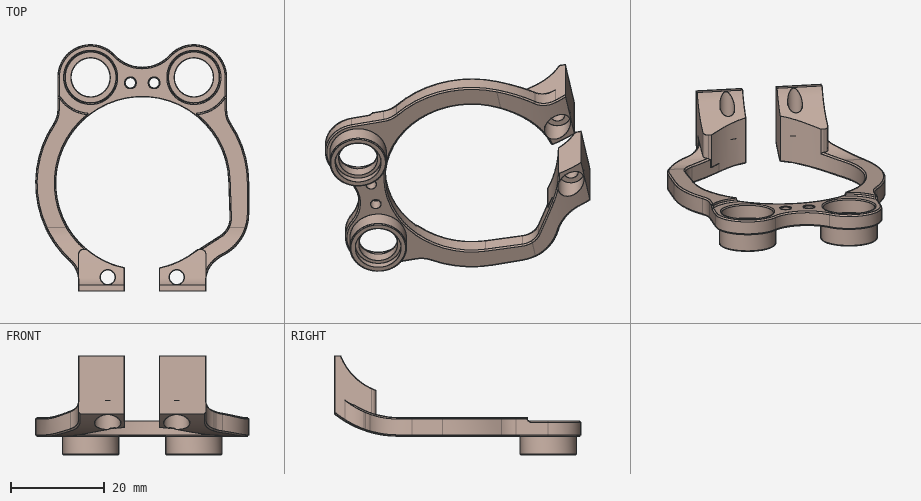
import cadquery as cq
import math

overall_width = 45.4
overall_length = 52.5

inner_radius = 18.45
outer_radius = overall_width / 2
thickness = 4.0
edge_chamfer = 0.3

shoulder_y = -6.45
shoulder_radius = 10.0
shoulder_fillet = 5.5
inner_flat_tilt = math.radians(2)
inner_slope = math.radians(32.8)
inner_corner_fillet = 4.5

socket_x = 22.0 / 2
socket_y = 22.5
lobe_radius = 7.0
valley_y = 24.7
neck_fillet = 5.5
head_top = 3.25
recess_radius = 8.0
recess_end_y = 18.05
recess_inner_x = 11.85
recess_inner_y = 13.1
socket_radius = 5.5
socket_floor = 0.1
socket_chamfer = 0.25
socket_foot_chamfer = 0.1
bore_radius = 4.15
lower_bore_radius = 4.9
lower_bore_top = -2.4
boss_radius = 6.05
boss_bottom = -3.95
boss_chamfer = 0.2

screw_hole_x = 2.5
screw_hole_y = 21.35
screw_hole_radius = 1.1
screw_hole_chamfer = 0.15

bend_y = -9.45
bend_radius = 21.7

front_y = socket_y + lobe_radius - overall_length
tab_outer_x = 13.55
left_tab_inner_x = -3.8
right_tab_inner_x = 3.7
tab_back_y = -14.1
tab_back_z = 9.75
tab_top = 17.1
tab_rim = 1.3
scoop_radius = 12.6
tab_corner_fillet = 1.0
tab_root_fillet = 5.5
clamp_hole_x = 7.35
clamp_hole_y = -20.05
clamp_hole_radius = 1.6
clamp_bore_radius = 2.8
clamp_bore_top = 7.6

head_half_width = socket_x + lobe_radius
socket_centers = [(-socket_x, socket_y), (socket_x, socket_y)]
screw_hole_centers = [(-screw_hole_x, screw_hole_y), (screw_hole_x, screw_hole_y)]
clamp_hole_centers = [(-clamp_hole_x, clamp_hole_y), (clamp_hole_x, clamp_hole_y)]

beyond = 52.5
front_stock = 1.6
bend_run_out = 5.25


def polar(radius, angle, center=(0, 0)):
    return (center[0] + radius * math.cos(angle), center[1] + radius * math.sin(angle))


def block(x_range, y_range, z_range):
    size = [high - low for low, high in (x_range, y_range, z_range)]
    return cq.Workplane("XY").box(*size, centered=False).translate((x_range[0], y_range[0], z_range[0]))


def cylinders(centers, radius, bottom, top):
    base = cq.Workplane("XY").workplane(offset=bottom)
    return base.pushPoints(centers).circle(radius).extrude(top - bottom)


def fillet_upright_edge(body, point, radius):
    """Round the vertical edge that stands at the given plan position."""
    tolerance = 0.1
    x, y = point
    column = cq.selectors.BoxSelector(
        (x - tolerance, y - tolerance, -beyond), (x + tolerance, y + tolerance, beyond)
    )
    return body.edges("|Z").edges(column).fillet(radius)


def head_web():
    """Filling between the lobes, hollowed by an arc tangent to both of them."""
    rise = valley_y - socket_y
    valley_radius = (socket_x**2 + rise**2 - lobe_radius**2) / (2 * (lobe_radius - rise))
    share = lobe_radius / (lobe_radius + valley_radius)
    tangent_x = socket_x * (1 - share)
    tangent_y = socket_y + (rise + valley_radius) * share
    return (
        cq.Workplane("XY")
        .moveTo(-socket_x, 0)
        .lineTo(socket_x, 0)
        .lineTo(socket_x, socket_y)
        .lineTo(tangent_x, tangent_y)
        .threePointArc((0, valley_y), (-tangent_x, tangent_y))
        .lineTo(-socket_x, socket_y)
        .close()
        .extrude(tab_top)
    )


def outer_prism():
    """Upright prism over the filled outer outline of ring, head and tabs."""
    shoulder_x = outer_radius - shoulder_radius
    body = (
        cylinders([(0, 0)], outer_radius, 0, tab_top)
        .union(cylinders([(shoulder_x, shoulder_y)], shoulder_radius, 0, tab_top))
        .union(block((shoulder_x, outer_radius), (shoulder_y, 0), (0, tab_top)))
        .union(block((-head_half_width, head_half_width), (0, socket_y), (0, tab_top)))
        .union(cylinders(socket_centers, lobe_radius, 0, tab_top))
        .union(head_web())
        .union(block((-tab_outer_x, tab_outer_x), (front_y - front_stock, 0), (0, tab_top)))
    )
    offset = math.hypot(shoulder_x, shoulder_y)
    spread = math.acos((offset**2 + outer_radius**2 - shoulder_radius**2) / (2 * offset * outer_radius))
    shoulder_end = polar(outer_radius, math.atan2(shoulder_y, shoulder_x) - spread)
    body = fillet_upright_edge(body, shoulder_end, shoulder_fillet)

    neck_y = math.sqrt(outer_radius**2 - head_half_width**2)
    root_y = -math.sqrt(outer_radius**2 - tab_outer_x**2)
    for side in (-1, 1):
        body = fillet_upright_edge(body, (side * head_half_width, neck_y), neck_fillet)
        body = fillet_upright_edge(body, (side * tab_outer_x, root_y), tab_root_fillet)
    return body


def opening_prism():
    """Inside of the ring: a circle whose lower right part follows two tangents and a rounded corner."""
    slope_start = inner_slope - math.pi / 2
    half_turn = (inner_flat_tilt - slope_start) / 2
    corner = polar(inner_radius / math.cos(half_turn), (inner_flat_tilt + slope_start) / 2)
    bulge = (
        cq.Workplane("XY")
        .lineTo(*polar(inner_radius, inner_flat_tilt))
        .lineTo(*corner)
        .lineTo(*polar(inner_radius, slope_start))
        .close()
        .extrude(tab_top)
    )
    bulge = fillet_upright_edge(bulge, corner, inner_corner_fillet)
    return cylinders([(0, 0)], inner_radius, 0, tab_top).union(bulge)


def under_bend(height):
    """Everything below the surface that lies the given height above the ring's underside."""
    radius = bend_radius - height
    bend_center = (bend_y, bend_radius)
    end_angle = math.asin((bend_y - front_y) / bend_radius)
    arc_middle = polar(radius, -math.pi / 2 - end_angle / 2, bend_center)
    arc_end = polar(radius, -math.pi / 2 - end_angle, bend_center)
    run_end = polar(bend_run_out, math.pi - end_angle, arc_end)
    return (
        cq.Workplane("YZ")
        .moveTo(beyond, -beyond)
        .lineTo(beyond, height)
        .lineTo(bend_y, height)
        .threePointArc(arc_middle, arc_end)
        .lineTo(*run_end)
        .lineTo(run_end[0], -beyond)
        .close()
        .extrude(beyond, both=True)
    )


def ring_band():
    """Closed band of constant thickness with chamfered edges above and below."""
    band = outer_prism().cut(opening_prism())
    band = band.intersect(under_bend(thickness)).cut(under_bend(0))
    return band.edges("not (|Z or |X)").chamfer(edge_chamfer)


def lower_head(band):
    """Recess the head to head_top, with a sloped foot along the steps, and chamfer its outer rim."""
    z_range = (head_top, tab_top)
    recess = (
        cylinders(socket_centers, recess_radius, *z_range)
        .union(block((-outer_radius, outer_radius), (recess_end_y, beyond), z_range))
        .union(block((-recess_inner_x, recess_inner_x), (recess_inner_y, beyond), z_range))
    )
    recess = recess.faces("<Z").edges().chamfer(edge_chamfer)
    margin = 0.05
    rim_start_y = recess_end_y + edge_chamfer + margin
    rim = cq.selectors.BoxSelector(
        (-beyond, rim_start_y, head_top - margin), (beyond, beyond, head_top + margin)
    )
    return band.cut(recess).edges(rim).chamfer(edge_chamfer)


def tabs():
    """Upright clamp block standing on the middle of the band, scooped at its back."""
    clamp = block((-tab_outer_x, tab_outer_x), (front_y, tab_back_y), (0, tab_top))
    clamp = clamp.cut(under_bend(thickness / 2)).edges("|Z and >Y").fillet(tab_corner_fillet)
    rim_y = front_y + tab_rim
    run = rim_y - tab_back_y
    rise = tab_top - tab_back_z
    chord_middle = ((rim_y + tab_back_y) / 2, (tab_top + tab_back_z) / 2)
    chord_distance = math.sqrt(scoop_radius**2 - (run**2 + rise**2) / 4)
    scoop_center = polar(chord_distance, math.atan2(rise, run) - math.pi / 2, chord_middle)
    scoop = cq.Workplane("YZ").center(*scoop_center).circle(scoop_radius).extrude(beyond, both=True)
    return clamp.cut(scoop).cut(cylinders([(0, 0)], inner_radius, 0, tab_top))


def chamfer_hole_tops(body, centers, radius, size):
    """Countersink holes that open in the top of the head."""
    cone = cq.Solid.makeCone(radius, radius + size, size)
    for x, y in centers:
        body = body.cut(cq.Workplane(cone.translate((x, y, head_top - size))))
    return body


def add_sockets(body):
    """Bosses below the head, each with a socket, a through bore and a wider bore from below."""
    bosses = cylinders(socket_centers, boss_radius, boss_bottom, head_top / 2)
    bosses = bosses.faces("<Z").chamfer(boss_chamfer)
    sockets = cylinders(socket_centers, socket_radius, socket_floor, head_top)
    sockets = sockets.faces("<Z").chamfer(socket_foot_chamfer)
    body = (
        body.union(bosses)
        .cut(sockets)
        .cut(cylinders(socket_centers, bore_radius, boss_bottom, head_top))
        .cut(cylinders(socket_centers, lower_bore_radius, boss_bottom, lower_bore_top))
    )
    return chamfer_hole_tops(body, socket_centers, socket_radius, socket_chamfer)


def cut_screw_holes(body):
    body = body.cut(cylinders(screw_hole_centers, screw_hole_radius, 0, head_top))
    return chamfer_hole_tops(body, screw_hole_centers, screw_hole_radius, screw_hole_chamfer)


def cut_clamp_holes(body):
    """Holes through the tabs, counterbored from below."""
    body = body.cut(cylinders(clamp_hole_centers, clamp_hole_radius, 0, tab_top))
    return body.cut(cylinders(clamp_hole_centers, clamp_bore_radius, 0, clamp_bore_top))


clamp_gap = block((left_tab_inner_x, right_tab_inner_x), (-beyond, 0), (0, tab_top))
front_trim = block((-beyond, beyond), (-beyond, front_y), (0, tab_top))

body = lower_head(ring_band())
body = body.union(tabs()).cut(clamp_gap).cut(front_trim)
body = add_sockets(body)
body = cut_screw_holes(body)
result = cut_clamp_holes(body)